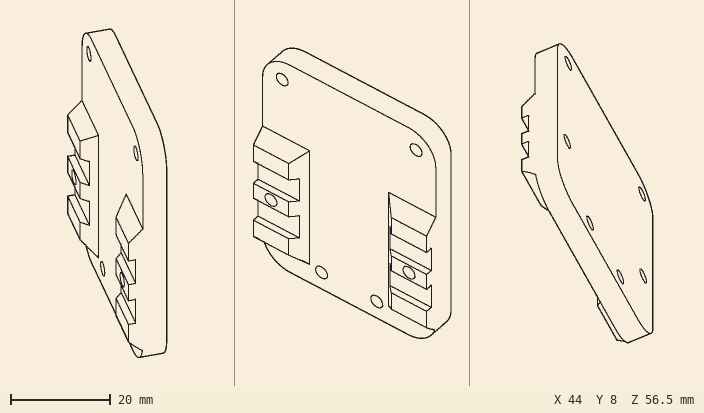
import cadquery as cq

plate_width = 44.0
plate_height = 56.5
total_depth = 8.0
rail_depth = 3.0
plate_depth = total_depth - rail_depth
corner_radius = 7.0

rail_width = 12.0
rail_height = 30.95
rail_bottom = 5.05
rail_middle = rail_bottom + rail_height / 2
bevel = rail_depth

slot_height = 6.0
slot_depth = 1.5
slot_offset = 5.05

hole_diameter = 3.0
top_hole_spacing = 34.0
top_hole_inset = 5.05
rail_hole_spacing = 35.05
bottom_hole_spacing = 14.0
bottom_hole_height = 4.5

half_width = plate_width / 2
plate_front = -plate_depth
rail_front = -total_depth


def rounded_slab(depth):
    """Slab with the plate's rounded outline, from the back face (Y = 0) forwards."""
    return (
        cq.Workplane("XY")
        .box(plate_width, depth, plate_height, centered=(True, False, False))
        .translate((0, -depth, 0))
        .edges("|Y")
        .fillet(corner_radius)
    )


def left_rail():
    """Slotted rail on the -X edge, bevelled at its inner side and both ends."""
    outer_edge = -half_width
    inner_edge = outer_edge + rail_width
    rail_top = rail_bottom + rail_height

    side_profile = [
        (plate_front, rail_bottom),
        (rail_front, rail_bottom + bevel),
        (rail_front, rail_top - bevel),
        (plate_front, rail_top),
    ]
    bevelled_ends = (
        cq.Workplane("YZ", origin=(outer_edge, 0, 0))
        .polyline(side_profile)
        .close()
        .extrude(rail_width)
    )

    plan_profile = [
        (outer_edge, plate_front),
        (inner_edge, plate_front),
        (inner_edge - bevel, rail_front),
        (outer_edge, rail_front),
    ]
    bevelled_side = (
        cq.Workplane("XY", origin=(0, 0, rail_bottom))
        .polyline(plan_profile)
        .close()
        .extrude(rail_height)
    )
    rail = bevelled_ends.intersect(bevelled_side)

    for offset in (-slot_offset, slot_offset):
        slot_start = (outer_edge, rail_front, rail_middle + offset)
        slot = cq.Workplane("XY", origin=slot_start).box(
            rail_width, slot_depth, slot_height, centered=(False, False, True)
        )
        rail = rail.cut(slot)
    return rail


def hole_pair(spacing, height):
    """Two cylinders along Y, placed symmetrically about the plate's centre line."""
    return (
        cq.Workplane("XZ")
        .pushPoints([(-spacing / 2, height), (spacing / 2, height)])
        .circle(hole_diameter / 2)
        .extrude(total_depth)
    )


rails = left_rail()
rails = rails.union(rails.mirror("YZ"))
rails = rails.intersect(rounded_slab(total_depth))

result = (
    rounded_slab(plate_depth)
    .union(rails)
    .cut(hole_pair(top_hole_spacing, plate_height - top_hole_inset))
    .cut(hole_pair(rail_hole_spacing, rail_middle))
    .cut(hole_pair(bottom_hole_spacing, bottom_hole_height))
)